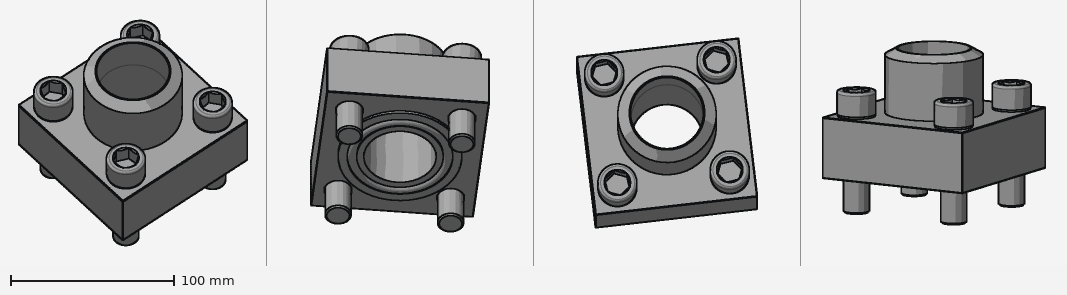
import cadquery as cq
import math

OVERALL_WIDTH = 130.3
BLOCK_HEIGHT = 38.0
BLOCK_TURN = 22.5
BLOCK_CHAMFER = 0.5

NECK_DIAMETER = 60.3
NECK_HEIGHT = 40.0
NECK_BEVEL_ANGLE = 30
NECK_TOP_DIAMETER = 46.3

BORE_TOP_DIAMETER = 44.5
BORE_BOTTOM_DIAMETER = 44.3
BORE_STRAIGHT_DEPTH = 20.7

FACE_DIAMETER = 76.0
FACE_HEIGHT = 2.0
GROOVE_INNER_DIAMETER = 53.0
GROOVE_OUTER_DIAMETER = 64.8
RING_PROTRUSION = 1.3

BOLT_SPACING = 69.3
BOLT_DIAMETER = 16.0
BOLT_HOLE_DIAMETER = 17.0
BOLT_PROTRUSION = 22.0
TIP_CHAMFER = 1.0
HEAD_DIAMETER = 24.0
HEAD_HEIGHT = 16.0
HEAD_FILLET = 1.5
HEAD_BASE_CHAMFER_HEIGHT = 1.3
HEAD_BASE_CHAMFER_WIDTH = 0.45
SOCKET_CORNER_DIAMETER = 16.2
SOCKET_DEPTH = 10.4
SOCKET_LEAD_ANGLE = 45

turn = math.radians(BLOCK_TURN)
block_side = (OVERALL_WIDTH + 2 * BLOCK_CHAMFER * math.sin(turn)) / (math.cos(turn) + math.sin(turn))
first_bolt_angle = BLOCK_TURN + 45
ring_section_diameter = (GROOVE_OUTER_DIAMETER - GROOVE_INNER_DIAMETER) / 2
ring_centre_radius = (GROOVE_OUTER_DIAMETER + GROOVE_INNER_DIAMETER) / 4
groove_depth = ring_section_diameter - RING_PROTRUSION
bolt_circle_radius = BOLT_SPACING / math.sqrt(2)


def at_bolts(solid):
    """Four copies of a solid, turned by quarter turns about Z onto the bolt circle."""
    moved = solid.translate((bolt_circle_radius, 0, 0))
    angles = [first_bolt_angle + 90 * i for i in range(4)]
    return [moved.rotate((0, 0, 0), (0, 0, 1), angle) for angle in angles]


def make_neck():
    """Bevelled round neck, rooted halfway down the block so that the two join."""
    radius = NECK_DIAMETER / 2
    top_radius = NECK_TOP_DIAMETER / 2
    top = BLOCK_HEIGHT + NECK_HEIGHT
    bevel_height = (radius - top_radius) * math.tan(math.radians(NECK_BEVEL_ANGLE))
    profile = [
        (0, BLOCK_HEIGHT / 2),
        (radius, BLOCK_HEIGHT / 2),
        (radius, top - bevel_height),
        (top_radius, top),
        (0, top),
    ]
    return cq.Workplane("XZ").polyline(profile).close().revolve()


def make_bore():
    top = BLOCK_HEIGHT + NECK_HEIGHT
    top_radius = BORE_TOP_DIAMETER / 2
    profile = [
        (0, -FACE_HEIGHT),
        (BORE_BOTTOM_DIAMETER / 2, -FACE_HEIGHT),
        (top_radius, top - BORE_STRAIGHT_DEPTH),
        (top_radius, top),
        (0, top),
    ]
    return cq.Workplane("XZ").polyline(profile).close().revolve()


def make_flange():
    block = (
        cq.Workplane("XY")
        .rect(block_side, block_side)
        .extrude(BLOCK_HEIGHT)
        .edges()
        .chamfer(BLOCK_CHAMFER)
        .rotate((0, 0, 0), (0, 0, 1), BLOCK_TURN)
    )
    face = cq.Workplane("XY").circle(FACE_DIAMETER / 2).extrude(-FACE_HEIGHT)
    groove = (
        cq.Workplane("XY", origin=(0, 0, -FACE_HEIGHT))
        .circle(GROOVE_OUTER_DIAMETER / 2)
        .circle(GROOVE_INNER_DIAMETER / 2)
        .extrude(groove_depth)
    )
    flange = block.union(make_neck()).union(face).cut(make_bore()).cut(groove)
    hole = cq.Workplane("XY").circle(BOLT_HOLE_DIAMETER / 2).extrude(BLOCK_HEIGHT)
    for bolt_hole in at_bolts(hole):
        flange = flange.cut(bolt_hole)
    return flange


def make_seal_ring():
    centre_height = groove_depth - FACE_HEIGHT - ring_section_diameter / 2
    return (
        cq.Workplane("XZ")
        .center(ring_centre_radius, centre_height)
        .circle(ring_section_diameter / 2)
        .revolve(360, (-ring_centre_radius, 0), (-ring_centre_radius, 1))
    )


def make_socket():
    """Hexagonal recess with a conical lead-in, its top on the bolt head."""
    top = BLOCK_HEIGHT + HEAD_HEIGHT
    hexagon = cq.Workplane("XY", origin=(0, 0, top)).polygon(6, SOCKET_CORNER_DIAMETER).extrude(-SOCKET_DEPTH)
    radius = SOCKET_CORNER_DIAMETER / 2
    cone_depth = radius * math.tan(math.radians(SOCKET_LEAD_ANGLE))
    lead_in = (
        cq.Workplane("XZ")
        .polyline([(0, top - cone_depth), (radius, top), (0, top)])
        .close()
        .revolve()
    )
    return hexagon.union(lead_in)


def make_bolt():
    shank_radius = BOLT_DIAMETER / 2
    head_radius = HEAD_DIAMETER / 2
    tip = -BOLT_PROTRUSION
    top = BLOCK_HEIGHT + HEAD_HEIGHT
    profile = [
        (0, tip),
        (shank_radius - TIP_CHAMFER, tip),
        (shank_radius, tip + TIP_CHAMFER),
        (shank_radius, BLOCK_HEIGHT),
        (head_radius - HEAD_BASE_CHAMFER_WIDTH, BLOCK_HEIGHT),
        (head_radius, BLOCK_HEIGHT + HEAD_BASE_CHAMFER_HEIGHT),
        (head_radius, top),
        (0, top),
    ]
    body = cq.Workplane("XZ").polyline(profile).close().revolve()
    body = body.faces(">Z").edges().fillet(HEAD_FILLET)
    socket = make_socket().rotate((0, 0, 0), (0, 0, 1), -first_bolt_angle)
    return body.cut(socket)


flange = make_flange()
seal_ring = make_seal_ring()
bolts = [bolt.val() for bolt in at_bolts(make_bolt())]

result = cq.Compound.makeCompound([flange.val(), seal_ring.val(), *bolts])